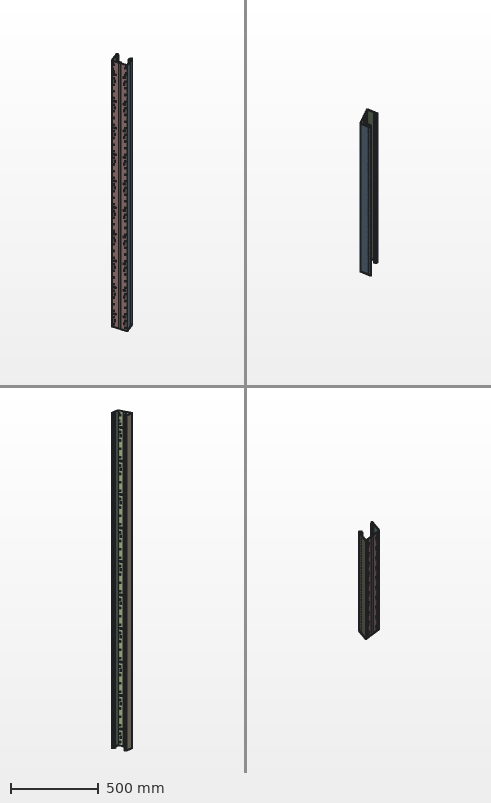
import cadquery as cq
import math

length = 2000.0
width = 100.0
depth = 68.0
sheet = 3.0
bend_radius = 3.8

lip_width = 15.0
lip_depth = 20.0
lip_slope = 8.0
hook_length = 10.0

rib_width = 15.0
rib_top = 10.0

round_hole_diameter = 5.0
round_hole_x = 35.0
round_hole_pitch = 50.0
round_hole_first_z = 22.0

slot_width = 5.0
slot_x = 30.0
slot_pitch = 200.0
cross_slot_length = 15.0
cross_slot_first_z = slot_pitch / 2
long_slot_length = 12.0
long_slot_first_z = slot_pitch / 4

end_hole_diameter = 5.0
end_hole_x = 42.0
end_hole_drops = (15.0, 60.0)


def make_half_channel():
    """The +X half of the section, from the middle of the web to the lip hook."""
    side = width / 2
    lip = side - lip_width
    tip = depth - lip_depth
    inner_slope = lip_slope - sheet * (2 - math.sqrt(2))
    outline = [
        (0, 0),
        (side, 0),
        (side, depth),
        (lip + lip_slope, depth),
        (lip, depth - lip_slope),
        (lip, tip),
        (lip + hook_length, tip),
        (lip + hook_length, tip + sheet),
        (lip + sheet, tip + sheet),
        (lip + sheet, depth - sheet - inner_slope),
        (lip + sheet + inner_slope, depth - sheet),
        (side - sheet, depth - sheet),
        (side - sheet, sheet),
        (0, sheet),
    ]
    half = cq.Workplane("XY").polyline(outline).close().extrude(length)
    return half.edges("|Z and >X").fillet(bend_radius)


def make_rib():
    """Solid rib that starts inside the web so that the two join fully."""
    return (
        cq.Workplane("XY")
        .center(0, rib_top / 2)
        .rect(rib_width, rib_top)
        .extrude(length)
    )


def row_heights(first_z, pitch):
    return [first_z + pitch * step for step in range(round(length / pitch))]


def web_points(x, heights):
    """Workplane on the inner face of the web with a point at -x and +x for every height."""
    points = [(side * x, z) for z in heights for side in (-1, 1)]
    return cq.Workplane("XZ", origin=(0, sheet, 0)).pushPoints(points)


def make_round_holes():
    heights = row_heights(round_hole_first_z, round_hole_pitch)
    return web_points(round_hole_x, heights).circle(round_hole_diameter / 2).extrude(sheet)


def make_cross_slots():
    heights = row_heights(cross_slot_first_z, slot_pitch)
    return web_points(slot_x, heights).slot2D(cross_slot_length, slot_width).extrude(sheet)


def make_long_slots():
    heights = row_heights(long_slot_first_z, slot_pitch)
    return web_points(slot_x, heights).slot2D(long_slot_length, slot_width, angle=90).extrude(sheet)


def make_end_holes():
    heights = [length - drop for drop in end_hole_drops]
    return web_points(end_hole_x, heights).circle(end_hole_diameter / 2).extrude(sheet)


half_channel = make_half_channel()
channel = half_channel.union(half_channel.mirror("YZ")).union(make_rib()).clean()

result = (
    channel
    .cut(make_round_holes())
    .cut(make_cross_slots())
    .cut(make_long_slots())
    .cut(make_end_holes())
)